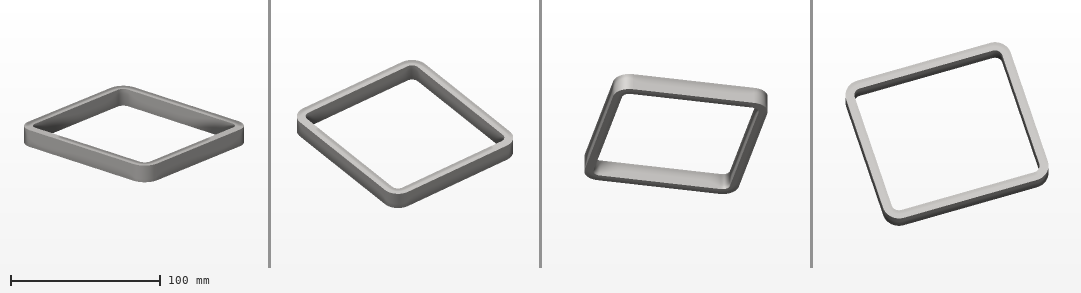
import cadquery as cq

length = 115.2
width = 105.2
height = 12.0
wall = 6.0
outer_radius = 11.1
inner_radius = outer_radius - wall


def rounded_block(size_x, size_y, corner_radius):
    """Block of the ring's height with rounded vertical edges."""
    block = cq.Workplane("XY").rect(size_x, size_y).extrude(height)
    return block.edges("|Z").fillet(corner_radius)


outer_body = rounded_block(length, width, outer_radius)
opening = rounded_block(length - 2 * wall, width - 2 * wall, inner_radius)

result = outer_body.cut(opening)